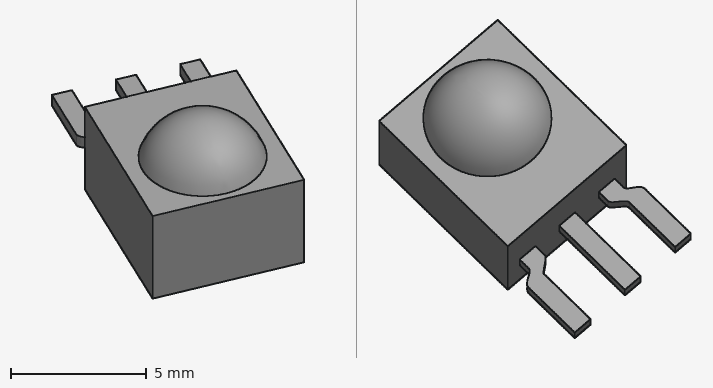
import cadquery as cq

total_length = 10.5
lead_length = 3.55
body_length = total_length - lead_length
body_width = 6.0
body_height = 3.9

lens_radius = 2.5
lens_height = 1.7
lens_x = 7.85

lead_width = 0.8
lead_thickness = 0.5
lead_bottom = 1.3

tip_edge_gap = 0.06
jog_offset = 0.54
jog_start = 2.49
jog_length = 0.57
jog_end = jog_start + jog_length
gentle_handle = jog_length / 3
tight_handle = jog_length / 2


def make_body():
    return cq.Workplane("XY").box(
        body_length, body_width, body_height, centered=(False, True, False)
    ).translate((lead_length, 0, 0))


def make_lens():
    center_z = body_height + lens_height - lens_radius
    return cq.Workplane("XY").sphere(lens_radius).translate((lens_x, 0, center_z))


def make_center_lead():
    return cq.Workplane("XY").box(
        lead_length, lead_width, lead_thickness, centered=(False, True, False)
    ).translate((0, 0, lead_bottom))


def make_side_lead():
    """Lead on the +Y side, jogged outward between its root and its tip."""
    tip_outer = body_width / 2 - tip_edge_gap
    tip_inner = tip_outer - lead_width
    root_outer = tip_outer - jog_offset
    root_inner = tip_inner - jog_offset

    def jog_curve(tip_y, root_y, tip_handle):
        return [
            (jog_start, tip_y),
            (jog_start + tip_handle, tip_y),
            (jog_end - gentle_handle, root_y),
            (jog_end, root_y),
        ]

    return (
        cq.Workplane("XY", origin=(0, 0, lead_bottom))
        .moveTo(0, tip_outer)
        .lineTo(jog_start, tip_outer)
        .bezier(jog_curve(tip_outer, root_outer, tight_handle))
        .lineTo(lead_length, root_outer)
        .lineTo(lead_length, root_inner)
        .lineTo(jog_end, root_inner)
        .bezier(jog_curve(tip_inner, root_inner, gentle_handle)[::-1])
        .lineTo(0, tip_inner)
        .close()
        .extrude(lead_thickness)
    )


side_lead = make_side_lead()
result = (
    make_body()
    .union(make_lens())
    .union(make_center_lead())
    .union(side_lead)
    .union(side_lead.mirror("XZ"))
)